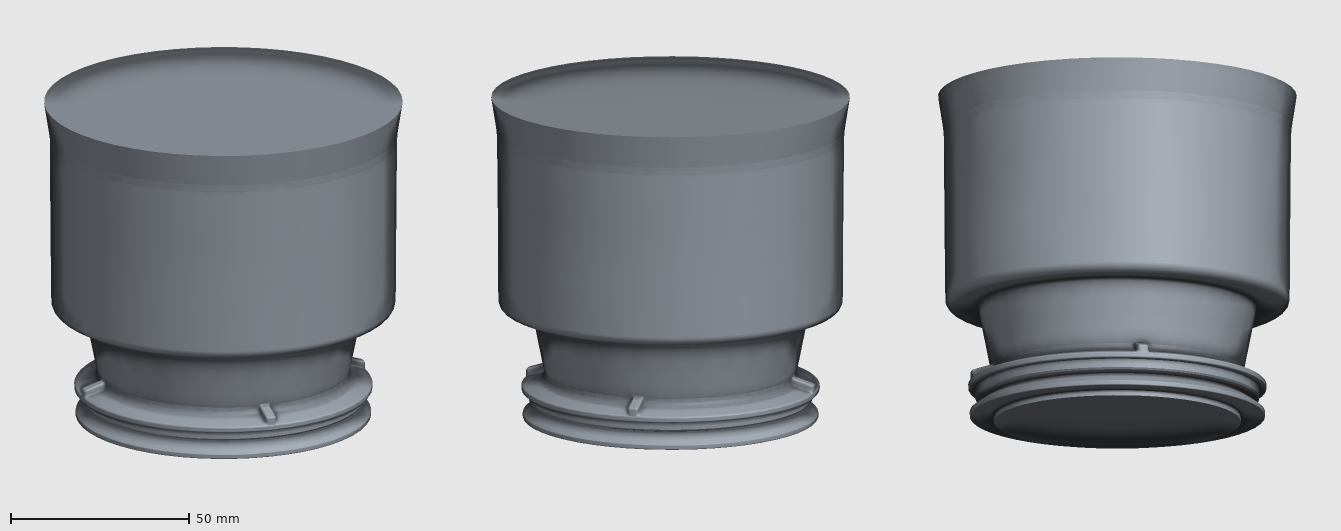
import cadquery as cq

overall_height = 93.5
body_bottom = 32.8
flare_bottom = 83.3

mouth_radius = 50.3
body_top_radius = 48.7
body_bottom_radius = 48.3
flare_blend = 15.1
body_corner_fillet = 2.5

neck_top_radius = 39.0
neck_bottom_radius = 35.1
neck_top_fillet = 0.8
neck_bottom_fillet = 2.0

flange_radius = 41.8
flange_bottom = 9.4
flange_rim_top = 11.0
flange_neck_height = 13.1
flange_top_round = 0.7
flange_bottom_round = 0.4

ring_radius = 39.8
ring_bottom = 6.5
ring_chamfer = 0.4
groove_radius = 37.1
groove_height = 5.8

lip_radius = 41.4
lip_bottom = 1.5
lip_rim_top = 2.8
lip_round = 0.3
spigot_radius = 34.6

rib_count = 4
rib_width = 3.0
rib_end_radius = 41.6
rib_start_radius = 33.2
rib_end_height = 13.2
rib_slope = 0.31
rib_end_round = 0.8
rib_top_round = 0.6
rib_base_fillet = 0.7

tolerance = 0.001


def is_circle_at(edge, radius, height):
    """Tell whether an edge is a circle of this radius around Z at this height."""
    if edge.geomType() != "CIRCLE":
        return False
    return abs(edge.radius() - radius) < tolerance and abs(edge.Center().z - height) < tolerance


def circle_at(solid, radius, height):
    """Select the circular edge of this radius and height."""
    return solid.edges().filter(lambda edge: is_circle_at(edge, radius, height))


def turned_body():
    """Revolve the outer profile about Z and round its corners."""
    profile = [
        (0, 0),
        (spigot_radius, 0),
        (spigot_radius, lip_bottom),
        (lip_radius, lip_bottom),
        (lip_radius, lip_rim_top),
        (groove_radius, groove_height),
        (ring_radius, ring_bottom),
        (ring_radius, flange_bottom),
        (flange_radius, flange_bottom),
        (flange_radius, flange_rim_top),
        (neck_bottom_radius, flange_neck_height),
        (neck_top_radius, body_bottom),
        (body_bottom_radius, body_bottom),
        (body_top_radius, flare_bottom),
        (mouth_radius, overall_height),
        (0, overall_height),
    ]
    solid = cq.Workplane("XZ").polyline(profile).close().revolve(360, (0, 0), (0, 1))

    rounds = [
        (lip_radius, lip_bottom, lip_round),
        (lip_radius, lip_rim_top, lip_round),
        (flange_radius, flange_bottom, flange_bottom_round),
        (flange_radius, flange_rim_top, flange_top_round),
        (neck_bottom_radius, flange_neck_height, neck_bottom_fillet),
        (neck_top_radius, body_bottom, neck_top_fillet),
        (body_bottom_radius, body_bottom, body_corner_fillet),
        (body_top_radius, flare_bottom, flare_blend),
    ]
    for radius, height, fillet in rounds:
        solid = circle_at(solid, radius, height).fillet(fillet)
    return circle_at(solid, ring_radius, ring_bottom).chamfer(ring_chamfer)


def rib():
    """One rib along +X, buried in the neck and flange, with a rounded top and outer end."""
    base_height = (flange_bottom + flange_rim_top) / 2
    start_height = rib_end_height + rib_slope * (rib_end_radius - rib_start_radius)
    side = [
        (rib_start_radius, base_height),
        (rib_end_radius, base_height),
        (rib_end_radius, rib_end_height),
        (rib_start_radius, start_height),
    ]
    block = cq.Workplane("XZ").polyline(side).close().extrude(rib_width / 2, both=True)
    block = block.faces(">X").edges("|Z").fillet(rib_end_round)
    return block.faces(">Z").edges("not <X").fillet(rib_top_round)


def is_rib_foot(edge, body):
    """Tell whether an edge is part of the seam where the +X rib meets the body."""
    box = edge.BoundingBox()
    near_rib = box.xmin > 0 and max(-box.ymin, box.ymax) < rib_width
    on_rib_height = box.zmin > flange_bottom + flange_bottom_round and box.zmax < body_bottom
    if not near_rib or not on_rib_height or edge.geomType() == "LINE":
        return False
    middle = cq.Vertex.makeVertex(*edge.positionAt(0.5).toTuple())
    return body.distance(middle) < tolerance


def add_rib(part):
    """Join a rib on the +X side and blend its foot into the body."""
    body = part.val()
    joined = part.union(rib())
    return joined.edges().filter(lambda edge: is_rib_foot(edge, body)).fillet(rib_base_fillet)


result = turned_body()
for _ in range(rib_count):
    result = add_rib(result).rotate((0, 0, 0), (0, 0, 1), 360 / rib_count)